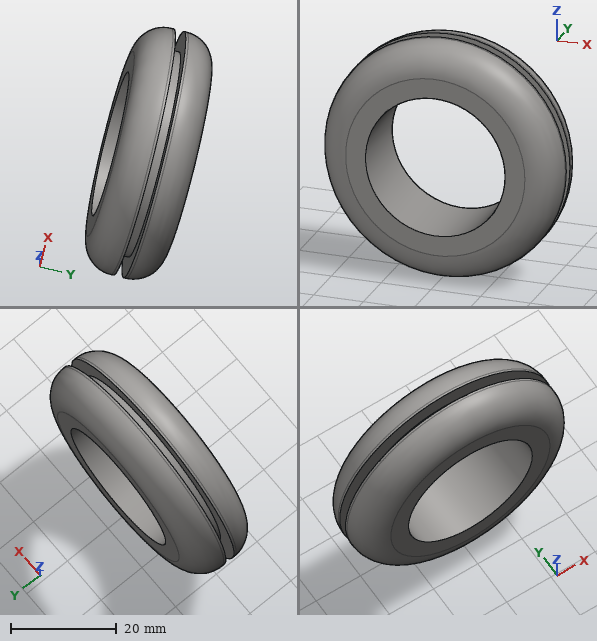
import cadquery as cq

outer_diameter = 48.0
bore_diameter = 28.0
groove_diameter = 40.0
total_width = 15.0
groove_width = 2.0
edge_radius = 6.0


def centred_ring(outside_diameter, inside_diameter, width):
    """Plain ring about the Y axis, centred on the origin."""
    return (
        cq.Workplane("XZ", origin=(0, width / 2, 0))
        .circle(outside_diameter / 2)
        .circle(inside_diameter / 2)
        .extrude(width)
    )


def rounded_ring():
    """Full-width ring with the outer rim of each end face rounded."""
    ring = centred_ring(outer_diameter, bore_diameter, total_width)
    outer_rims = ring.edges(cq.selectors.RadiusNthSelector(-1))
    return outer_rims.fillet(edge_radius)


def panel_groove():
    """Material removed between the two flanges to seat the panel edge."""
    return centred_ring(outer_diameter, groove_diameter, groove_width)


result = rounded_ring().cut(panel_groove())